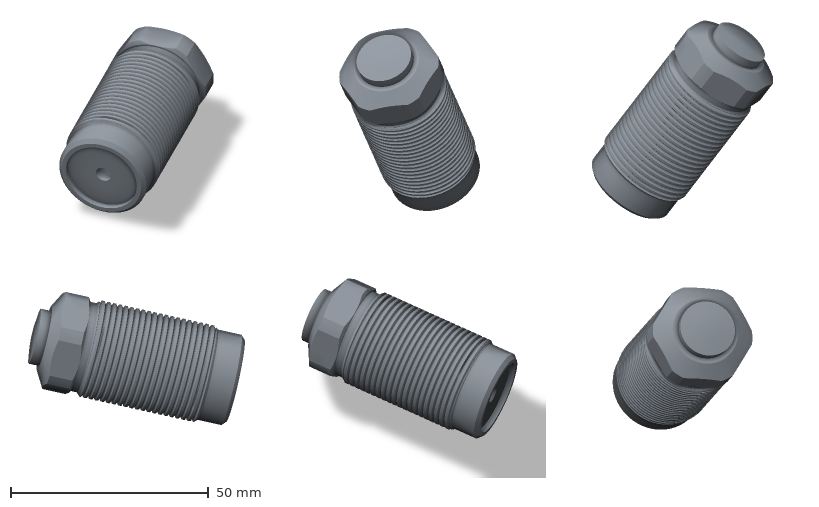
import cadquery as cq


total_length = 52.75
end_chamfer = 1.0
thread_start = 7.2
thread_end = 38.6
nut_start = 40.5
nut_end = 49.55
button_edge = 52.1

body_radius = 11.7
neck_radius = 11.55
thread_radius = 12.5
button_radius = 7.1

across_flats = 24.0
hexagon_turn = 30
corner_radius = 13.0
nut_face_radius = 8.5
bevel_start = 47.0
lower_bevel = 0.65

thread_turns = 20
turns_length = 29.95
pitch = turns_length / thread_turns
groove_depth = 0.7
groove_mouth = 0.85
groove_root = 0.1
groove_phase = 37.1
mouth_clearance = 0.15

recess_radius = 9.55
recess_depth = 1.5
hole_radius = 2.0
hole_depth = 5.3


def make_body():
    """Turned body, with the unthreaded blank bevelled at both ends."""
    start_bevel = thread_radius - body_radius
    end_bevel = thread_radius - neck_radius
    return (
        cq.Workplane("XY")
        .moveTo(0, 0)
        .lineTo(body_radius - end_chamfer, 0)
        .lineTo(body_radius, end_chamfer)
        .lineTo(body_radius, thread_start)
        .lineTo(thread_radius, thread_start + start_bevel)
        .lineTo(thread_radius, thread_end - end_bevel)
        .lineTo(neck_radius, thread_end)
        .lineTo(neck_radius, nut_start)
        .lineTo(0, nut_start)
        .close()
        .revolve(360, (0, 0, 0), (0, 1, 0))
    )


def make_thread_groove():
    """Helical V groove that runs out past both ends of the thread."""
    first_turn = int((groove_phase - thread_start) / pitch) + 1
    helix_start = groove_phase - first_turn * pitch
    helix_length = thread_end + pitch / 2 - helix_start
    root_radius = thread_radius - groove_depth
    flank_run = (groove_mouth - groove_root) / 2
    outer_half = groove_mouth / 2 + flank_run * mouth_clearance / groove_depth
    outer_radius = thread_radius + mouth_clearance
    helix = cq.Wire.makeHelix(pitch, helix_length, root_radius, lefthand=True)
    groove = (
        cq.Workplane("XZ")
        .polyline([
            (root_radius, -groove_root / 2),
            (outer_radius, -outer_half),
            (outer_radius, outer_half),
            (root_radius, groove_root / 2),
        ])
        .close()
        .sweep(cq.Workplane(obj=helix), isFrenet=True)
    )
    return groove.rotate((0, 0, 0), (1, 0, 0), -90).translate((0, helix_start, 0))


def make_threaded_bar():
    """Threaded bar longer than the bevelled blank, so the thread runs out through the bevels."""
    bar = cq.Workplane("XZ").circle(thread_radius).extrude(-nut_start)
    return bar.cut(make_thread_groove())


def make_nut():
    """Hexagon with flats facing +Z and -Z, trimmed by a bevelled cylinder."""
    hexagon = (
        cq.Workplane("XZ", origin=(0, nut_start, 0))
        .polygon(6, across_flats, circumscribed=True)
        .extrude(nut_start - nut_end)
        .rotate((0, 0, 0), (0, 1, 0), hexagon_turn)
    )
    envelope = (
        cq.Workplane("XY")
        .moveTo(0, nut_start)
        .lineTo(across_flats / 2, nut_start)
        .lineTo(corner_radius, nut_start + lower_bevel)
        .lineTo(corner_radius, bevel_start)
        .lineTo(nut_face_radius, nut_end)
        .lineTo(0, nut_end)
        .close()
        .revolve(360, (0, 0, 0), (0, 1, 0))
    )
    return hexagon.intersect(envelope)


def make_button():
    """Cylindrical button with a shallow domed end."""
    dome_height = total_length - button_edge
    dome_radius = (button_radius**2 + dome_height**2) / (2 * dome_height)
    dome_centre = total_length - dome_radius
    mid_x = button_radius / 2
    mid_y = dome_centre + (dome_radius**2 - mid_x**2) ** 0.5
    return (
        cq.Workplane("XY")
        .moveTo(0, nut_end)
        .lineTo(button_radius, nut_end)
        .lineTo(button_radius, button_edge)
        .threePointArc((mid_x, mid_y), (0, total_length))
        .close()
        .revolve(360, (0, 0, 0), (0, 1, 0))
    )


def make_end_pocket(radius, start, depth):
    """Round pocket on the axis, cut inwards from Y = start."""
    return cq.Workplane("XZ", origin=(0, start, 0)).circle(radius).extrude(-depth)


result = (
    make_body()
    .intersect(make_threaded_bar())
    .union(make_nut())
    .union(make_button())
    .cut(make_end_pocket(recess_radius, 0, recess_depth))
    .cut(make_end_pocket(hole_radius, recess_depth, hole_depth))
)